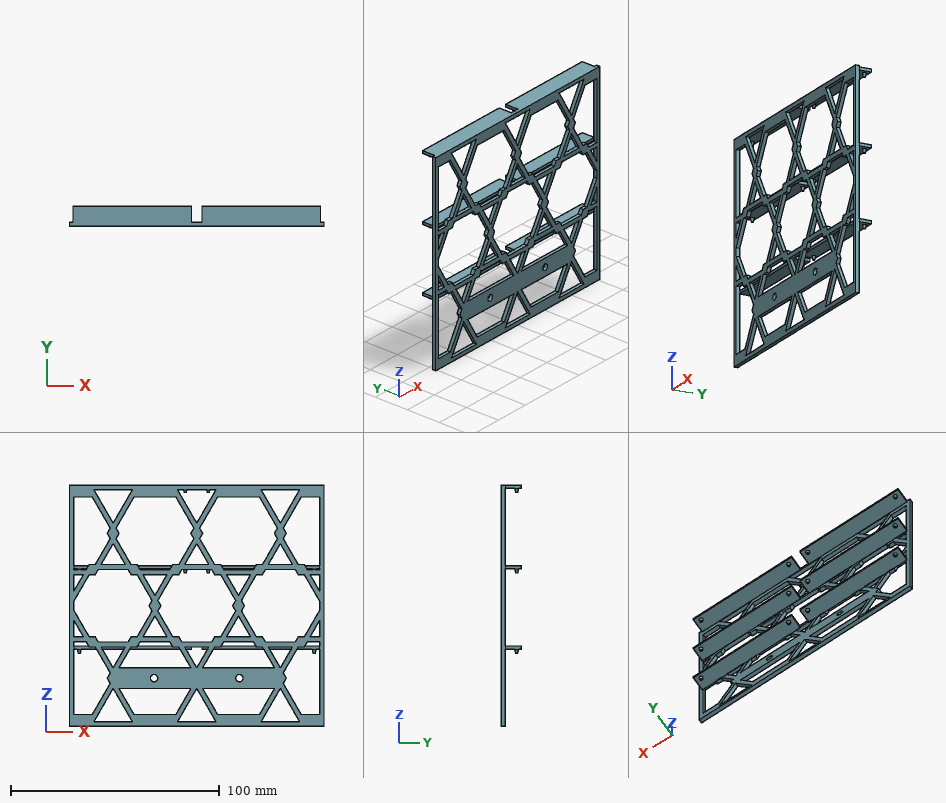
import cadquery as cq
import math

width = 122.0
height = 115.5
depth = 9.6
plate_thickness = 2.0
rim = 2.25

cell_pitch = 40.0
bar_width = 2.5
hexagon_radius = cell_pitch / 2
hexagon_apothem = hexagon_radius * math.cos(math.radians(30))
row_pitch = 2 * hexagon_apothem
knot_radius = bar_width / math.cos(math.radians(30))

band_height = 10.0
hole_diameter = 3.4
hole_spacing = 40.8

shelf_pitch = height / 3
shelf_thickness = 1.6
shelf_gap = 4.8
shelf_inset = 1.7
shelf_count = 3

pin_root_radius = 1.0
pin_tip_radius = 0.5
pin_length = 2.0
pin_setback = 2.2
pin_inner_x = 5.5
pin_outer_x = 56.2

window_half_width = width / 2 - rim
window_half_height = height / 2 - rim


def prism(points):
    """Extrude an outline of (x, z) points through the plate thickness."""
    return cq.Workplane("XZ").polyline(points).close().extrude(-plate_thickness)


def hexagon(x, z, radius):
    """Hexagonal prism with two corners pointing along X."""
    corners = [math.radians(60 * i) for i in range(6)]
    return prism([(x + radius * math.cos(a), z + radius * math.sin(a)) for a in corners])


def triangle(x, z, direction, base_z):
    """Triangular prism above (+1) or below (-1) a crossing, as far as base_z."""
    apex_z = z + direction * 2 * bar_width
    half_base = abs(base_z - apex_z) * math.tan(math.radians(30))
    return prism([(x, apex_z), (x - half_base, base_z), (x + half_base, base_z)])


def block(x_size, z_size, z_center):
    """Rectangular block through the plate thickness, centred in X."""
    return cq.Workplane("XY").box(x_size, plate_thickness, z_size).translate(
        (0, plate_thickness / 2, z_center)
    )


def row_columns(row):
    """X of the crossings in a row; hexagon centres lie half a pitch further on."""
    if row == 0:
        return [cell_pitch * (i + 0.5) for i in range(-2, 2)]
    return [cell_pitch * i for i in range(-1, 2)]


def make_windows():
    """All hexagonal and triangular openings, cut off at the rim."""
    windows = cq.Workplane("XY")
    for row in (-1, 0, 1):
        z = row * row_pitch
        columns = row_columns(row)
        hexagon_columns = [columns[0] - cell_pitch / 2] + [x + cell_pitch / 2 for x in columns]
        for x in hexagon_columns:
            windows = windows.add(hexagon(x, z, hexagon_radius))
        for direction in (-1, 1):
            base_z = z + direction * (hexagon_apothem - bar_width)
            if direction == row:
                base_z = direction * window_half_height
            for x in columns:
                windows = windows.add(triangle(x, z, direction, base_z))
    opening = block(2 * window_half_width, 2 * window_half_height, 0)
    return windows.combine().intersect(opening)


def make_knots():
    """Small hexagons that strengthen the crossings of the bars."""
    knots = cq.Workplane("XY")
    for row in (-1, 0, 1):
        for x in row_columns(row):
            if abs(x) + knot_radius < window_half_width:
                knots = knots.add(hexagon(x, row * row_pitch, knot_radius))
    for side in (-1, 1):
        for i in range(-3, 3):
            x = (i + 0.5) * hexagon_radius
            knots = knots.add(hexagon(x, side * hexagon_apothem, knot_radius))
    return knots.combine()


def make_plate():
    """Pierced plate with its mounting band and screw holes."""
    band = block(2 * cell_pitch, band_height, -row_pitch)
    windows = make_windows().cut(make_knots()).cut(band)
    holes = (
        cq.Workplane("XZ")
        .pushPoints([(-hole_spacing / 2, -row_pitch), (hole_spacing / 2, -row_pitch)])
        .circle(hole_diameter / 2)
        .extrude(-plate_thickness)
    )
    return block(width, height, 0).cut(windows).cut(holes)


def make_pin(x, top_z):
    """Tapered pin hanging down from top_z."""
    root = cq.Workplane("XY", origin=(x, depth - pin_setback, top_z)).circle(pin_root_radius)
    return root.workplane(offset=-pin_length).circle(pin_tip_radius).loft(ruled=True)


def make_shelf(top_z):
    """Two shelf halves with their top at top_z, each with two pins."""
    outer_x = width / 2 - shelf_inset
    inner_x = shelf_gap / 2
    shelf_depth = depth - plate_thickness
    shelf_y = plate_thickness + shelf_depth / 2
    shelf = cq.Workplane("XY")
    for side in (-1, 1):
        half = cq.Workplane("XY").box(outer_x - inner_x, shelf_depth, shelf_thickness)
        half = half.translate((side * (outer_x + inner_x) / 2, shelf_y, top_z - shelf_thickness / 2))
        shelf = shelf.add(half)
        for x in (pin_inner_x, pin_outer_x):
            shelf = shelf.add(make_pin(side * x, top_z - shelf_thickness))
    return shelf.combine()


result = make_plate()
for index in range(shelf_count):
    result = result.union(make_shelf(height / 2 - index * shelf_pitch))
result = result.clean()